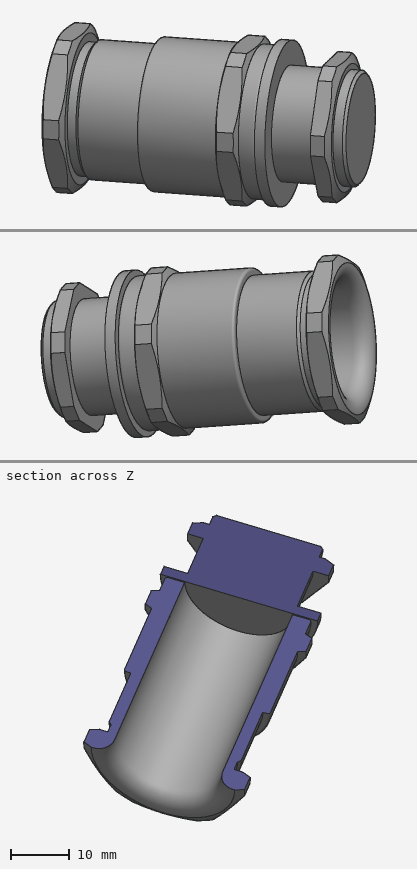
import cadquery as cq
import math


wrench_hex_width = 4.05
neck_end = 5.6
sleeve_end = 16.8
middle_hex_start = 30.7
barrel_end = 37.75

fitting_gap = 0.1
collar_start = barrel_end + fitting_gap
collar_end = 39.7
stem_hex_start = 47.35
stem_hex_width = 3.2
total_length = 52.7

neck_diameter = 23.0
sleeve_diameter = 24.0
barrel_diameter = 26.5
bore_diameter = 19.5
mouth_diameter = 25.3
collar_diameter = 28.5
stem_diameter = 20.0

wrench_flats = 26.95
wrench_corners = 29.15
end_hex_rim_diameter = 26.0
middle_hex_rim_diameter = barrel_diameter
stem_hex_flats = 24.0
stem_hex_corners = 25.6
stem_hex_rim_diameter = 22.05
hex_chamfer_slope = 0.4
hex_half_pitch = 180 / 6

edge_size = 0.5
sleeve_chamfer = (sleeve_diameter - neck_diameter) / 2
mouth_radius = (mouth_diameter - bore_diameter) / 2


def cylinder(start, end, diameter):
    return cq.Workplane("YZ", origin=(start, 0, 0)).circle(diameter / 2).extrude(end - start)


def points_diameter(across_flats):
    """Circle through the sharp corners of a hexagon."""
    return across_flats / math.cos(math.radians(hex_half_pitch))


def hexagon(start, width, across_flats):
    """Hexagonal prism along X with flats facing +Z and -Z."""
    return cq.Workplane("YZ", origin=(start, 0, 0)).polygon(6, points_diameter(across_flats)).extrude(width)


def coned_blank(start, width, rim_diameter, outer_diameter, both_ends):
    """Round blank with a cone at its +X end and, for both_ends, at its -X end too."""
    rim = rim_diameter / 2
    outer = outer_diameter / 2
    cone_length = (outer - rim) * hex_chamfer_slope
    end = start + width
    profile = cq.Workplane("XY").moveTo(start, 0)
    if both_ends:
        profile = profile.lineTo(start, rim).lineTo(start + cone_length, outer)
    else:
        profile = profile.lineTo(start, outer)
    profile = profile.lineTo(end - cone_length, outer).lineTo(end, rim).lineTo(end, 0).close()
    return profile.revolve(360, (0, 0, 0), (1, 0, 0))


def trimmed_hex(start, width, flats, corners, rim_diameter, both_ends):
    """Hexagon with its six corners cut flat and its end faces chamfered by cones."""
    corner_trim = hexagon(start, width, corners).rotate((0, 0, 0), (1, 0, 0), hex_half_pitch)
    blank = coned_blank(start, width, rim_diameter, points_diameter(flats), both_ends)
    return hexagon(start, width, flats).intersect(corner_trim).intersect(blank)


def wrench_hex(start, rim_diameter):
    return trimmed_hex(start, wrench_hex_width, wrench_flats, wrench_corners, rim_diameter, both_ends=True)


def make_housing():
    end_hex = wrench_hex(0, end_hex_rim_diameter)
    neck = cylinder(wrench_hex_width, neck_end, neck_diameter)
    sleeve = cylinder(neck_end, sleeve_end, sleeve_diameter).faces("<X").chamfer(sleeve_chamfer)
    barrel = cylinder(sleeve_end, barrel_end, barrel_diameter).faces("<X or >X").edges().fillet(edge_size)
    middle_hex = wrench_hex(middle_hex_start, middle_hex_rim_diameter)
    housing = end_hex.union(neck).union(sleeve).union(barrel).union(middle_hex)

    housing = housing.cut(cylinder(0, barrel_end, bore_diameter))
    bore_edge = cq.selectors.RadiusNthSelector(0)
    return housing.faces("<X").edges("%CIRCLE").edges(bore_edge).fillet(mouth_radius)


def make_entry_fitting():
    """Collar, solid stem, and a hexagon chamfered only on its +X side."""
    collar = cylinder(collar_start, collar_end, collar_diameter)
    stem = cylinder(collar_end, total_length, stem_diameter).faces(">X").chamfer(edge_size)
    stem_hex = trimmed_hex(
        stem_hex_start,
        stem_hex_width,
        stem_hex_flats,
        stem_hex_corners,
        stem_hex_rim_diameter,
        both_ends=False,
    )
    return collar.union(stem).union(stem_hex)


housing = make_housing()
entry_fitting = make_entry_fitting()

result = cq.Compound.makeCompound([housing.val(), entry_fitting.val()])